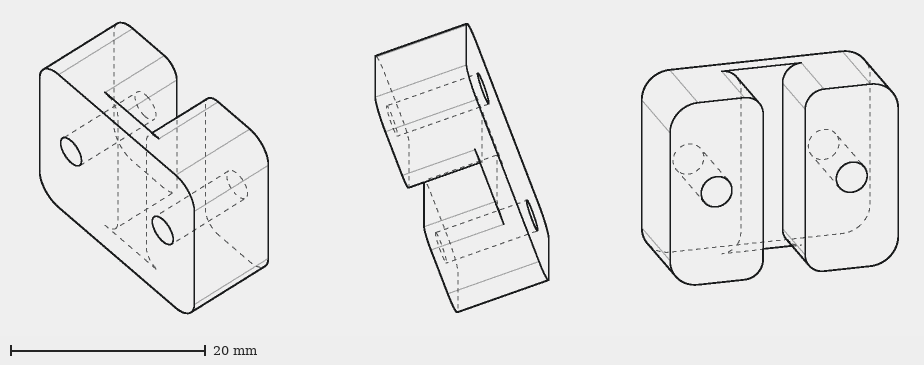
import cadquery as cq

width = 24.5
depth = 10.0
height = 20.0
corner_radius = 3.0

plate_thickness = 2.0
channel_width = 4.5
channel_edge_radius = 2.0

hole_diameter = 3.3

leg_width = (width - channel_width) / 2
leg_depth = depth - plate_thickness
leg_offset = (channel_width + leg_width) / 2
front_y = -depth / 2
plate_back_y = front_y + plate_thickness


def make_plate():
    """Front plate with four rounded corners."""
    plate = cq.Workplane("XY").box(width, plate_thickness, height)
    plate = plate.edges("|Y").fillet(corner_radius)
    return plate.translate((0, front_y + plate_thickness / 2, 0))


def make_leg(side):
    """Leg behind the plate; side is -1 for the -X leg and +1 for the +X leg."""
    outer, inner = (">X", "<X") if side > 0 else ("<X", ">X")
    leg = cq.Workplane("XY").box(leg_width, leg_depth, height)
    leg = leg.faces(outer).edges("|Y").fillet(corner_radius)
    leg = leg.faces(inner).edges("|Y").fillet(channel_edge_radius)
    return leg.translate((side * leg_offset, plate_back_y + leg_depth / 2, 0))


body = make_plate()
for side in (-1, 1):
    body = body.union(make_leg(side))

holes = (
    cq.Workplane("XZ", origin=(0, front_y, 0))
    .pushPoints([(-leg_offset, 0), (leg_offset, 0)])
    .circle(hole_diameter / 2)
    .extrude(-depth)
)

result = body.cut(holes)